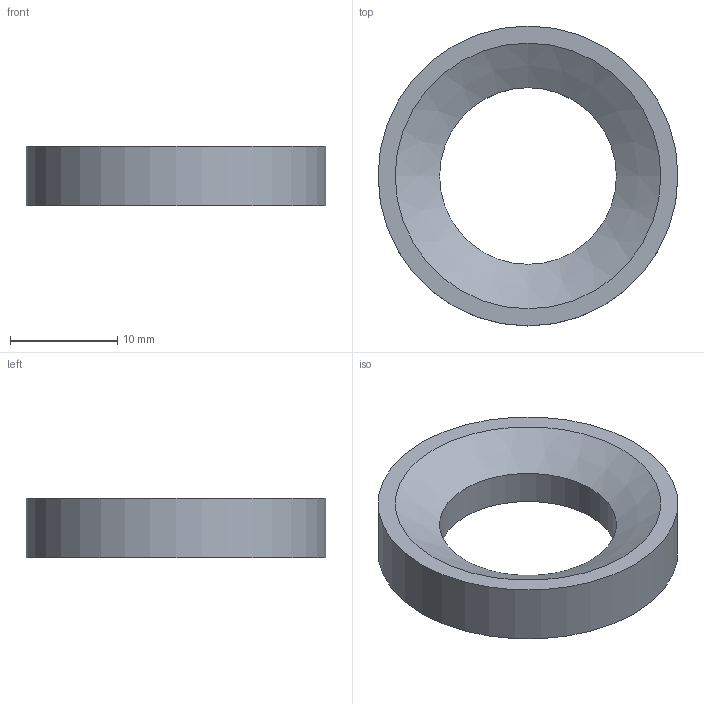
import cadquery as cq
import math

outer_diameter = 28.0
bore_diameter = 16.5
seat_diameter = 24.8
seat_angle = 120.0
height = 5.6

outer_radius = outer_diameter / 2
bore_radius = bore_diameter / 2
seat_radius = seat_diameter / 2
seat_depth = (seat_radius - bore_radius) / math.tan(math.radians(seat_angle / 2))


def washer_section():
    """Half section in the XZ plane, as (radius, height) points."""
    return (
        cq.Workplane("XZ")
        .moveTo(bore_radius, 0)
        .lineTo(outer_radius, 0)
        .lineTo(outer_radius, height)
        .lineTo(seat_radius, height)
        .lineTo(bore_radius, height - seat_depth)
        .close()
    )


result = washer_section().revolve(360, (0, 0, 0), (0, 1, 0))